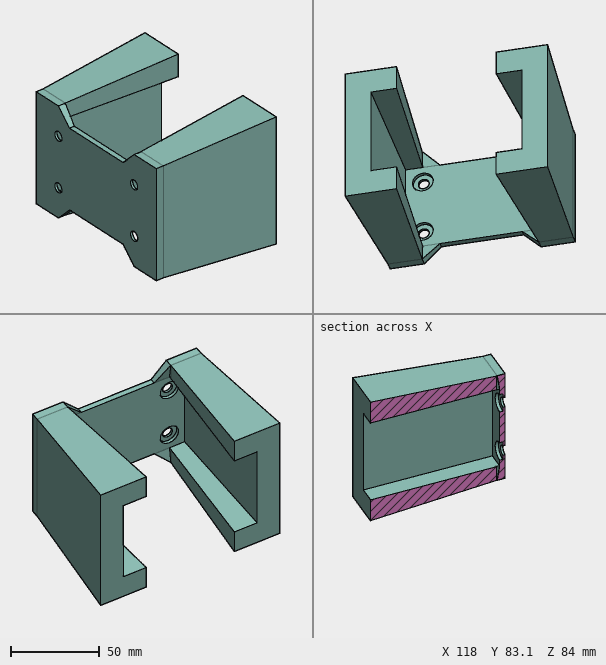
import cadquery as cq


overall_width = 118.0
overall_depth = 83.06
overall_height = 84.0

taper = 5.0
plate_thickness = 5.0
plate_width = overall_width - 2 * taper
plate_height = overall_height - 2 * taper
arm_width = 30.0
arm_front_width = arm_width - 2 * taper
arm_length = overall_depth - plate_thickness
shoulder_x = plate_width / 2 - arm_front_width

waist_height = 54.0
waist_half_width = shoulder_x - (plate_height - waist_height) / 2
web_thickness = 3.5

channel_height = waist_height
channel_side_wall = 15.0
channel_width = overall_width - 2 * channel_side_wall

hole_diameter = 6.25
hole_spacing_x = 68.0
hole_spacing_z = 34.0
counterbore_diameter = 12.0
hole_land = 1.5


def make_plate():
    """Front plate with a narrowed waist."""
    upper_outline = [
        (-plate_width / 2, plate_height / 2),
        (-shoulder_x, plate_height / 2),
        (-waist_half_width, waist_height / 2),
        (waist_half_width, waist_height / 2),
        (shoulder_x, plate_height / 2),
        (plate_width / 2, plate_height / 2),
    ]
    lower_outline = [(x, -z) for x, z in reversed(upper_outline)]
    return cq.Workplane("XZ").polyline(upper_outline + lower_outline).close().extrude(-plate_thickness)


def make_arm(side):
    """Arm behind the plate, widening towards the rear; side is -1 or 1."""
    centre_x = side * (overall_width - arm_width) / 2
    return (
        cq.Workplane("XZ", origin=(centre_x, plate_thickness, 0))
        .rect(arm_front_width, plate_height)
        .workplane(offset=-arm_length)
        .rect(arm_width, overall_height)
        .loft(ruled=True)
    )


def make_channel():
    """Straight channel from the web to the rear, cut into both arms."""
    channel_length = overall_depth - web_thickness
    return (
        cq.Workplane("XZ", origin=(0, web_thickness, 0))
        .rect(channel_width, channel_height)
        .extrude(-channel_length)
    )


def make_web_relief():
    """Wedge between the arms: the plate's back slopes from the web out to its full thickness."""
    outline = [
        (web_thickness, -waist_height / 2),
        (web_thickness, waist_height / 2),
        (plate_thickness, plate_height / 2),
        (plate_thickness, -plate_height / 2),
    ]
    return cq.Workplane("YZ").polyline(outline).close().extrude(shoulder_x, both=True)


def make_hole_pattern(diameter, start_y, end_y):
    """Four cylinders on the mounting pattern, running from start_y to end_y."""
    return (
        cq.Workplane("XZ", origin=(0, start_y, 0))
        .rect(hole_spacing_x, hole_spacing_z, forConstruction=True)
        .vertices()
        .circle(diameter / 2)
        .extrude(start_y - end_y)
    )


body = make_plate().union(make_arm(-1)).union(make_arm(1))
body = body.cut(make_channel()).cut(make_web_relief())
body = body.cut(make_hole_pattern(hole_diameter, 0, web_thickness))
result = body.cut(make_hole_pattern(counterbore_diameter, hole_land, web_thickness))